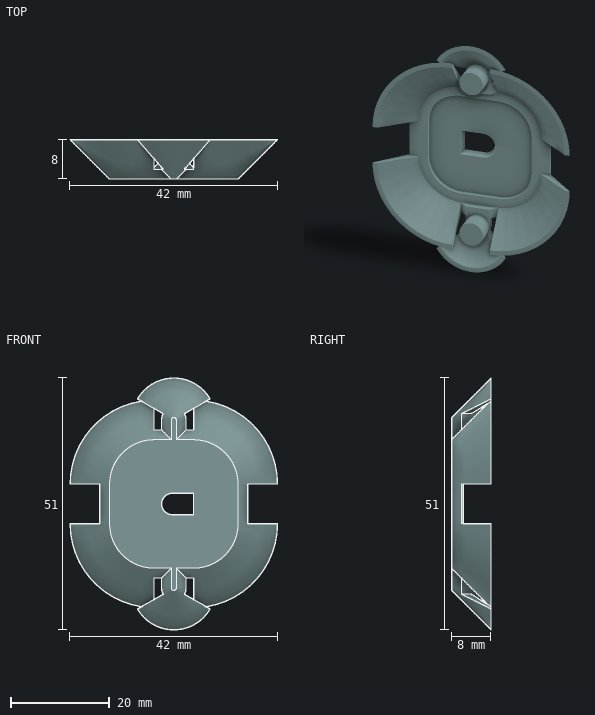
import cadquery as cq
import math

DEPTH = 8.0
FLARE = 45.0
FRONT_HALF = 13.0
CORNER_RADIUS = 9.0
FLOOR = 2.4
RIM = 1.0

CAVITY_DEPTH = DEPTH - FLOOR
CAVITY_GROWTH = DEPTH - RIM
CAVITY_ANGLE = math.degrees(math.atan(CAVITY_GROWTH / CAVITY_DEPTH))

SLOT_WIDTH = 8.0
PLATE_FLARE_DEPTH = 2.0
PLATE_HALF = FRONT_HALF + PLATE_FLARE_DEPTH
POCKET_FLOOR = 1.4
POCKET_WALL = 2.0

PETAL_CENTER = 17.0
PETAL_TIP_RADIUS = 0.5
PETAL_HALF_ANGLE = 60.0
ARM_RADIUS = PETAL_TIP_RADIUS + PLATE_FLARE_DEPTH
ARM_START = FRONT_HALF
BEAM_BACK = FLOOR + SLOT_WIDTH / 2 - ARM_RADIUS

HOLE_RADIUS = 2.15
HOLE_LEFT = -2.45
HOLE_RIGHT = 3.95
HOLE_WIDENING = 0.55


def plane_at(y):
    """Sketch plane at depth y: local x is X, local y is -Z, normal is +Y."""
    return cq.Workplane(cq.Plane(origin=(0, y, 0), xDir=(1, 0, 0), normal=(0, 1, 0)))


def flared_square(y, half, radius, height, angle):
    """Rounded square at depth y, growing outward by the angle over the height."""
    sketch = cq.Sketch().rect(2 * half, 2 * half).vertices().fillet(radius)
    return plane_at(y).placeSketch(sketch).extrude(height, taper=-angle)


def cone(y, radius, back_radius, height):
    """Cone frustum along +Y on the upper petal axis."""
    base = cq.Vector(0, y, PETAL_CENTER)
    return cq.Workplane(cq.Solid.makeCone(radius, back_radius, height, base, cq.Vector(0, 1, 0)))


def make_shell():
    """Flared wall, cut into four corner sectors, around the solid front plate."""
    outer = flared_square(0, FRONT_HALF, CORNER_RADIUS, DEPTH, FLARE)
    cavity = flared_square(FLOOR, FRONT_HALF, CORNER_RADIUS, CAVITY_DEPTH, CAVITY_ANGLE)
    reach = 2 * (FRONT_HALF + DEPTH)
    slots = plane_at(0).rect(reach, SLOT_WIDTH).extrude(DEPTH)
    slots = slots.union(plane_at(0).rect(SLOT_WIDTH, reach).extrude(DEPTH))
    corners = outer.cut(cavity).cut(slots)
    plate = flared_square(0, FRONT_HALF, CORNER_RADIUS, PLATE_FLARE_DEPTH, FLARE)
    plate_back = flared_square(
        PLATE_FLARE_DEPTH, PLATE_HALF, CORNER_RADIUS + PLATE_FLARE_DEPTH, FLOOR - PLATE_FLARE_DEPTH, 0
    )
    pocket = flared_square(
        POCKET_FLOOR, FRONT_HALF - POCKET_WALL, CORNER_RADIUS - POCKET_WALL, FLOOR - POCKET_FLOOR, 0
    )
    return corners.union(plate).union(plate_back).cut(pocket)


def make_petal():
    """Hollow cone sector opening away from the plate."""
    back_radius = PETAL_TIP_RADIUS + DEPTH
    outer = cone(0, PETAL_TIP_RADIUS, back_radius, DEPTH)
    cavity = cone(FLOOR, PETAL_TIP_RADIUS, PETAL_TIP_RADIUS + CAVITY_GROWTH, CAVITY_DEPTH)
    reach = 2 * back_radius
    side = reach * math.tan(math.radians(PETAL_HALF_ANGLE))
    sector = (
        cq.Workplane("XZ")
        .polyline([(0, PETAL_CENTER), (side, PETAL_CENTER + reach), (-side, PETAL_CENTER + reach)])
        .close()
        .extrude(-DEPTH)
    )
    return outer.cut(cavity).intersect(sector)


def mirrored_outline(points, z_start, z_end):
    """Extrude the x-y outline given by its right side, mirrored about x = 0, between two heights."""
    mirrored = [(-x, y) for x, y in reversed(points)]
    start = cq.Workplane("XY", origin=(0, 0, z_start))
    return start.polyline(points + mirrored).close().extrude(z_end - z_start)


def make_arm():
    """Full-depth pin on the petal axis, joined to the plate by a beam with 45 degree gussets."""
    nose = cone(0, PETAL_TIP_RADIUS, ARM_RADIUS, PLATE_FLARE_DEPTH)
    pin = plane_at(PLATE_FLARE_DEPTH).center(0, -PETAL_CENTER).circle(ARM_RADIUS)
    pin = pin.extrude(DEPTH - PLATE_FLARE_DEPTH)
    beam_side = [(PETAL_TIP_RADIUS, 0), (ARM_RADIUS, PLATE_FLARE_DEPTH), (ARM_RADIUS, BEAM_BACK)]
    beam = mirrored_outline(beam_side, ARM_START, PETAL_CENTER)
    gusset_side = [(SLOT_WIDTH / 2, PLATE_FLARE_DEPTH), (SLOT_WIDTH / 2, FLOOR), (ARM_RADIUS, BEAM_BACK)]
    gussets = mirrored_outline(gusset_side, ARM_START, PLATE_HALF)
    return nose.union(pin).union(beam).union(gussets)


def keyhole_outline(y, growth):
    """Keyhole wire at depth y, rounded on its left end and square on its right, grown on every side."""
    arc_center = HOLE_LEFT + HOLE_RADIUS
    radius = HOLE_RADIUS + growth
    outline = (
        plane_at(y)
        .moveTo(HOLE_RIGHT + growth, -radius)
        .lineTo(HOLE_RIGHT + growth, radius)
        .lineTo(arc_center, radius)
        .threePointArc((HOLE_LEFT - growth, 0), (arc_center, -radius))
        .close()
    )
    return outline.val()


def make_keyhole():
    """Keyhole through the plate, widening from the front face to the pocket."""
    outlines = [keyhole_outline(0, 0), keyhole_outline(POCKET_FLOOR, HOLE_WIDENING)]
    return cq.Workplane(cq.Solid.makeLoft(outlines, True))


upper_petal = make_petal().union(make_arm())
lower_petal = upper_petal.mirror("XY")
result = make_shell().union(upper_petal).union(lower_petal).cut(make_keyhole())